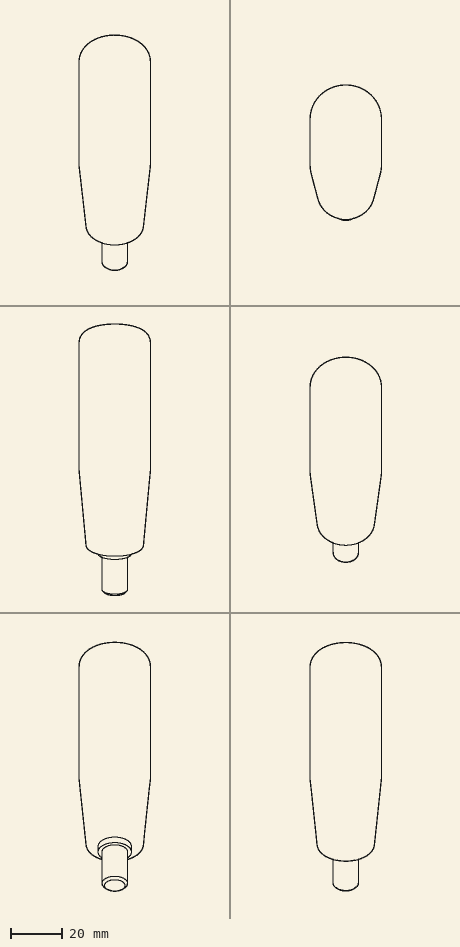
import cadquery as cq

total_height = 108.5
grip_radius = 14.0

stud_radius = 5.0
stud_length = 15.8
stud_chamfer = 1.0
collar_radius = 6.5
collar_height = 2.6

grip_bottom_radius = 11.2
bottom_rounding = 1.3
taper_height = 32.1
dome_radius = 11.1
dome_rise = 1.4
shoulder_drop = 5.3

grip_bottom = stud_length + collar_height
taper_top = grip_bottom + taper_height
shoulder_bottom = total_height - shoulder_drop
dome_base = total_height - dome_rise

shoulder_width = grip_radius - dome_radius
shoulder_height = dome_base - shoulder_bottom


def make_stud():
    """Stud with a chamfered tip, topped by its collar."""
    stud = cq.Workplane("XY").circle(stud_radius).extrude(grip_bottom)
    stud = stud.faces("<Z").chamfer(stud_chamfer)
    collar = (
        cq.Workplane("XY")
        .workplane(offset=stud_length)
        .circle(collar_radius)
        .extrude(collar_height)
    )
    return stud.union(collar)


def make_grip():
    """Tapered and cylindrical grip with a rounded shoulder and a domed end."""
    dome_sphere_radius = (dome_radius**2 + dome_rise**2) / (2 * dome_rise)
    half_dome_radius = dome_radius / 2
    half_dome_drop = dome_sphere_radius - (dome_sphere_radius**2 - half_dome_radius**2) ** 0.5
    profile = (
        cq.Workplane("XZ")
        .moveTo(0, grip_bottom)
        .lineTo(grip_bottom_radius, grip_bottom)
        .lineTo(grip_radius, taper_top)
        .lineTo(grip_radius, shoulder_bottom)
        .tangentArcPoint((-shoulder_width, shoulder_height))
        .threePointArc((half_dome_radius, total_height - half_dome_drop), (0, total_height))
        .close()
    )
    grip = profile.revolve(360, (0, 0, 0), (0, 1, 0))
    return grip.faces("<Z").edges().fillet(bottom_rounding)


result = make_grip().union(make_stud())